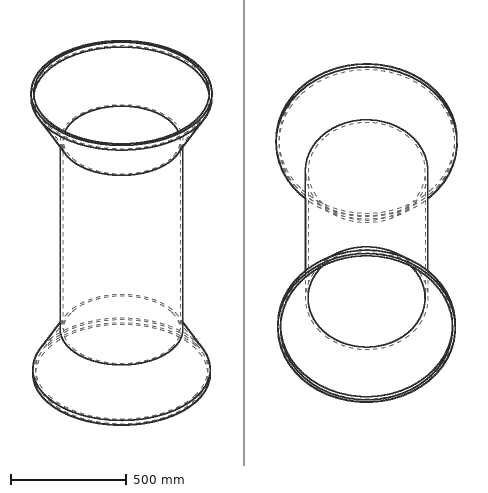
import cadquery as cq

height = 1495.0
wall = 12.0

tube_radius = 266.0
top_radius = 393.0
bottom_radius = 386.0

rim_height = 25.0
top_flare_height = 250.0
bottom_flare_height = 236.0


def revolved_body(inset):
    """Solid of revolution of the outer outline, with every radius reduced by inset."""
    bottom = bottom_radius - inset
    tube = tube_radius - inset
    top = top_radius - inset
    outline = [
        (0, 0),
        (bottom, 0),
        (bottom, rim_height),
        (tube, bottom_flare_height),
        (tube, height - top_flare_height),
        (top, height - rim_height),
        (top, height),
        (0, height),
    ]
    return cq.Workplane("XZ").polyline(outline).close().revolve(360, (0, 0, 0), (0, 1, 0))


result = revolved_body(0).cut(revolved_body(wall))